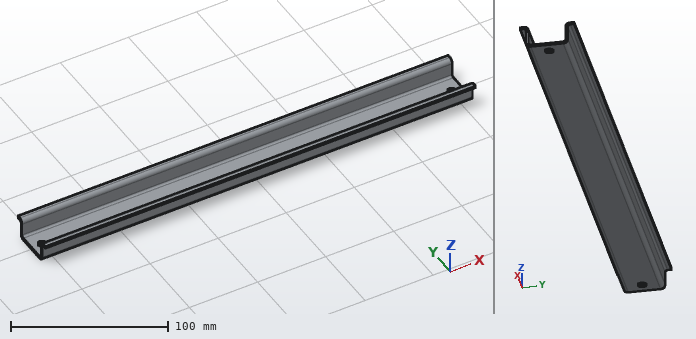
import cadquery as cq
import math

rail_length = 316.0
rail_width = 35.0
rail_height = 15.0
sheet_thickness = 1.5
channel_width = 27.0
inner_bend_radius = 1.5
hole_diameter = 5.3
hole_end_distance = 7.6

outer_bend_radius = inner_bend_radius + sheet_thickness
hole_x = rail_length / 2 - hole_end_distance
tip_y = rail_width / 2
wall_outer_y = channel_width / 2
wall_inner_y = wall_outer_y - sheet_thickness
floor_bend_y = wall_outer_y - outer_bend_radius
flange_bend_y = wall_inner_y + outer_bend_radius
lower_bend_z = outer_bend_radius
upper_bend_z = rail_height - outer_bend_radius
flange_underside_z = rail_height - sheet_thickness


def quarter_bend_midpoint(center_y, center_z, radius, side_y, side_z):
    """Middle of a 90 degree bend lying in the quadrant given by the two signs."""
    offset = radius * math.cos(math.radians(45))
    return (center_y + side_y * offset, center_z + side_z * offset)


def lower_bend_midpoint(radius):
    return quarter_bend_midpoint(floor_bend_y, lower_bend_z, radius, 1, -1)


def upper_bend_midpoint(radius):
    return quarter_bend_midpoint(flange_bend_y, upper_bend_z, radius, -1, 1)


def make_rail():
    """Bent-sheet channel with outward flanges, extruded along X about the origin."""
    half_profile = (
        cq.Workplane("YZ", origin=(-rail_length / 2, 0, 0))
        .moveTo(0, 0)
        .lineTo(floor_bend_y, 0)
        .threePointArc(lower_bend_midpoint(outer_bend_radius), (wall_outer_y, lower_bend_z))
        .lineTo(wall_outer_y, upper_bend_z)
        .threePointArc(upper_bend_midpoint(inner_bend_radius), (flange_bend_y, flange_underside_z))
        .lineTo(tip_y, flange_underside_z)
        .lineTo(tip_y, rail_height)
        .lineTo(flange_bend_y, rail_height)
        .threePointArc(upper_bend_midpoint(outer_bend_radius), (wall_inner_y, upper_bend_z))
        .lineTo(wall_inner_y, lower_bend_z)
        .threePointArc(lower_bend_midpoint(inner_bend_radius), (floor_bend_y, sheet_thickness))
        .lineTo(0, sheet_thickness)
    )
    return half_profile.mirrorY().extrude(rail_length)


def make_hole_cutters():
    """Vertical cylinders for the mounting holes near the two ends of the floor."""
    return (
        cq.Workplane("XY")
        .pushPoints([(-hole_x, 0), (hole_x, 0)])
        .circle(hole_diameter / 2)
        .extrude(sheet_thickness)
    )


result = make_rail().cut(make_hole_cutters())